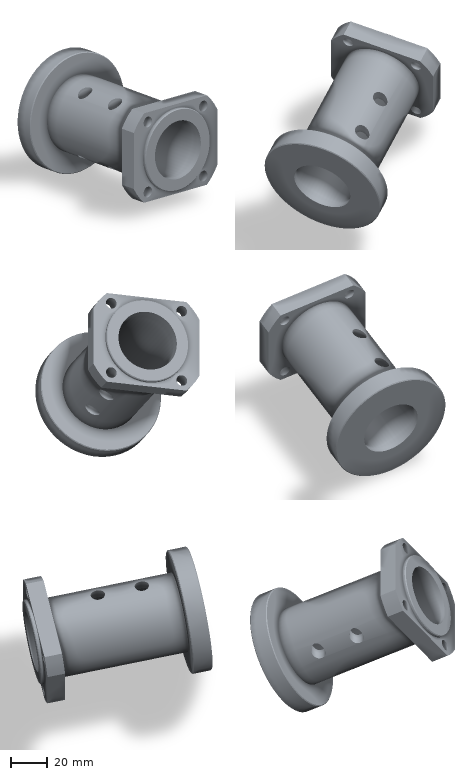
import cadquery as cq

total_length = 95.0
flange_thickness = 11.0
plate_start = 83.0
plate_end = 93.0

flange_diameter = 70.0
flange_chamfer = 0.5
tube_diameter = 45.0
bore_diameter = 34.0
spigot_diameter = 48.0
spigot_chamfer = 0.5

plate_disc_diameter = 70.0
plate_width = 61.8
plate_height = 52.4
bolt_hole_diameter = 6.2
bolt_spacing = 41.0

cross_hole_diameter = 8.0
cross_hole_y = -11.1
cross_hole_positions = (29.9, 54.9)


def disc(diameter, start, end):
    """Cylinder on the X axis between two stations."""
    return cq.Workplane("YZ", origin=(start, 0, 0)).circle(diameter / 2).extrude(end - start)


def mounting_plate():
    thickness = plate_end - plate_start
    trim = (
        cq.Workplane("YZ", origin=(plate_start, 0, 0))
        .rect(plate_width, plate_height)
        .extrude(thickness)
    )
    bolt_holes = (
        cq.Workplane("YZ", origin=(plate_start, 0, 0))
        .rect(bolt_spacing, bolt_spacing, forConstruction=True)
        .vertices()
        .circle(bolt_hole_diameter / 2)
        .extrude(thickness)
    )
    return disc(plate_disc_diameter, plate_start, plate_end).intersect(trim).cut(bolt_holes)


def cross_holes():
    return (
        cq.Workplane("XY")
        .pushPoints([(x, cross_hole_y) for x in cross_hole_positions])
        .circle(cross_hole_diameter / 2)
        .extrude(tube_diameter / 2, both=True)
    )


flange = disc(flange_diameter, 0, flange_thickness).edges().chamfer(flange_chamfer)
tube = disc(tube_diameter, 0, plate_end)
spigot = disc(spigot_diameter, plate_end, total_length).faces(">X").edges().chamfer(spigot_chamfer)
bore = disc(bore_diameter, 0, total_length)

result = flange.union(tube).union(mounting_plate()).union(spigot).cut(bore).cut(cross_holes())